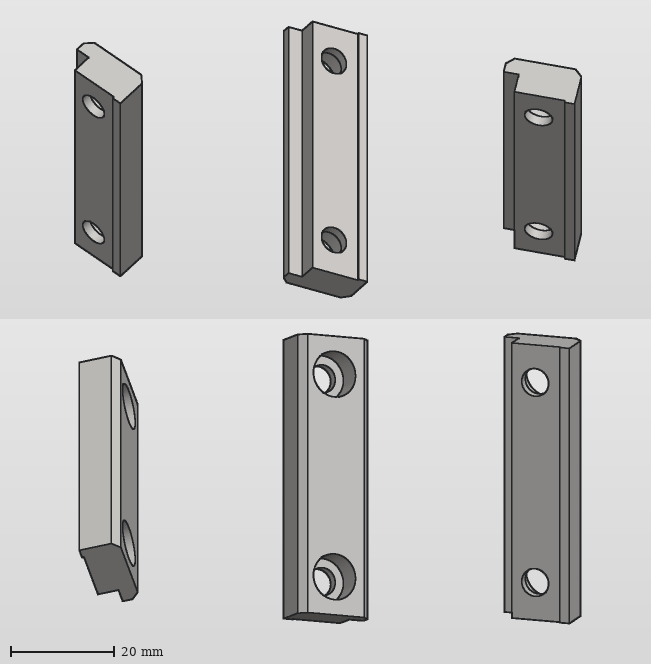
import cadquery as cq

width = 15.0
depth = 8.0
length = 55.0

chamfer = 1.5
flange_width = 3.0
flange_depth = 3.45
lip_width = 2.0
lip_height = 0.4

hole_diameter = 5.5
counterbore_diameter = 9.0
counterbore_depth = 5.5
hole_spacing = 40.0
hole_x = 7.8


def make_bar():
    """Extrude the stepped cross-section along Z; the lip face lies at Y = 0."""
    flange_front = depth - flange_depth
    profile = [
        (flange_width, lip_height),
        (width - lip_width, lip_height),
        (width - lip_width, 0),
        (width, 0),
        (width, depth - chamfer),
        (width - chamfer, depth),
        (chamfer, depth),
        (0, depth - chamfer),
        (0, flange_front),
        (flange_width, flange_front),
    ]
    return cq.Workplane("XY").polyline(profile).close().extrude(length)


def make_hole_cutter(z):
    """Through hole along Y, counterbored from the rear face."""
    rear = cq.Workplane("XZ", origin=(hole_x, depth, z))
    through = rear.circle(hole_diameter / 2).extrude(depth)
    counterbore = rear.circle(counterbore_diameter / 2).extrude(counterbore_depth)
    return through.union(counterbore)


result = make_bar()
for side in (-1, 1):
    result = result.cut(make_hole_cutter(length / 2 + side * hole_spacing / 2))